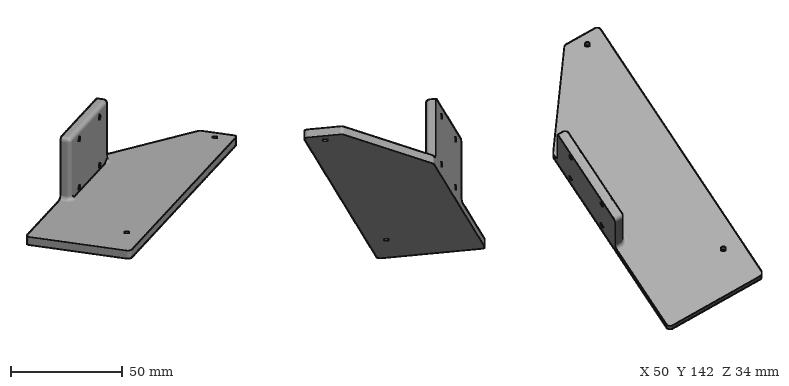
import cadquery as cq

plate_width = 50.0
plate_length = 142.0
plate_thickness = 4.0
bevel_width = 32.0
bevel_length = 42.5

tab_length = 50.0
tab_thickness = 5.0
total_height = 34.0
tab_center_y = plate_length / 2

round_radius = 2.0

hole_diameter = 2.3
plate_hole_x = 41.0
plate_hole_ys = (20.0, 137.0)
tab_hole_spacing_y = 27.0
tab_hole_zs = (6.0, 29.4)


def make_plate():
    outline = [
        (0, 0),
        (plate_width, 0),
        (plate_width, plate_length),
        (bevel_width, plate_length),
        (0, plate_length - bevel_length),
    ]
    plate = cq.Workplane("XY").polyline(outline).close().extrude(plate_thickness)
    return plate.edges("|Z").fillet(round_radius)


def make_tab():
    """Upright with rounded top corners and a rounded rim on its inner face."""
    tab = cq.Workplane("XY").box(tab_thickness, tab_length, total_height, centered=(False, True, False))
    tab = tab.edges("|X and >Z").fillet(round_radius)
    rim = tab.faces(">X").edges("not <Z")
    tab = rim.fillet(round_radius)
    return tab.translate((0, tab_center_y, 0))


def make_flare(side):
    """Concave foot at one end of the tab: straight, then swept around its rounded upright edge."""
    straight_length = tab_thickness - round_radius
    pivot_y = tab_center_y + side * (tab_length / 2 - round_radius)
    flare_top = plate_thickness + round_radius
    toe = 2 * round_radius
    diagonal = round_radius * 0.5 ** 0.5

    def profile(workplane):
        return (
            workplane.moveTo(0, 0)
            .lineTo(side * toe, 0)
            .lineTo(side * toe, plate_thickness)
            .threePointArc(
                (side * (toe - diagonal), flare_top - diagonal),
                (side * round_radius, flare_top),
            )
            .lineTo(0, flare_top)
            .close()
        )

    plane = cq.Workplane("YZ", origin=(straight_length, pivot_y, 0))
    straight = profile(plane).extrude(-straight_length)
    swept = profile(plane).revolve(180, (0, 0), (0, -side))
    return straight.union(swept)


def make_plate_holes():
    centers = [(plate_hole_x, y) for y in plate_hole_ys]
    return cq.Workplane("XY").pushPoints(centers).circle(hole_diameter / 2).extrude(plate_thickness)


def make_tab_holes():
    half_spacing = tab_hole_spacing_y / 2
    centers = [(tab_center_y + side * half_spacing, z) for side in (-1, 1) for z in tab_hole_zs]
    return cq.Workplane("YZ").pushPoints(centers).circle(hole_diameter / 2).extrude(tab_thickness)


result = make_plate().union(make_tab())
for end in (-1, 1):
    result = result.union(make_flare(end))
result = result.cut(make_plate_holes()).cut(make_tab_holes())